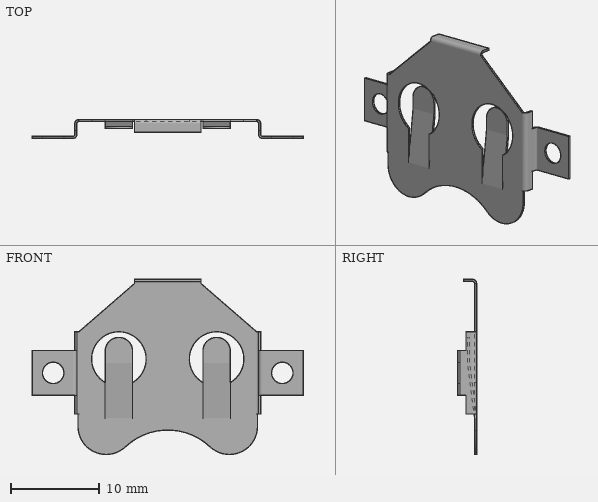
import cadquery as cq
import math


thickness = 0.25
overall_width = 30.75
overall_depth = 2.15

plate_half_width = 10.18
lobe_radius = 3.2
lobe_center_x = plate_half_width - lobe_radius
lobe_center_z = -6.05
lobe_bottom_z = lobe_center_z - lobe_radius
notch_top_z = -6.5
overall_height = 19.87
plate_top_z = lobe_bottom_z + overall_height

wall_outer_x = 10.55
wall_half_height = 4.68
wall_depth = 1.23
bend_outer_radius = 0.5
bend_inner_radius = bend_outer_radius - thickness
tab_bend_inner_radius = 0.15
tab_bend_outer_radius = tab_bend_inner_radius + thickness
tab_height = 5.1
tab_hole_diameter = 2.4
tab_hole_x = 12.98

lip_width = 7.57
lip_depth = 1.48

tongue_x = 5.55
window_radius = 3.08
window_center_z = 1.57
tongue_width = 3.15
tongue_top_z = 4.03
tongue_bend_z = 1.08
tongue_root_z = -5.17
tongue_front_y = -1.05

wall_inner_x = wall_outer_x - thickness
bend_start_x = wall_outer_x - bend_outer_radius
bend_start_z = plate_top_z - bend_outer_radius


def back_plane():
    """Workplane on the back of the plate, with local axes X and Z, extruding toward -Y."""
    return cq.Workplane("XZ")


def point_on_circle(center, radius, angle):
    """Point on a circle at an angle in degrees."""
    turn = math.radians(angle)
    return (center[0] + radius * math.cos(turn), center[1] + radius * math.sin(turn))


def make_plate():
    """Flat plate: sloped shoulders, two round lobes and a round notch tangent to both."""
    rise = lobe_center_z - notch_top_z
    notch_radius = (lobe_center_x**2 + rise**2 - lobe_radius**2) / (2 * (lobe_radius - rise))
    notch_center_z = notch_top_z - notch_radius
    tangent_angle = math.degrees(math.atan2(notch_center_z - lobe_center_z, -lobe_center_x))
    right_lobe = (lobe_center_x, lobe_center_z)
    tangent_x, tangent_z = point_on_circle(right_lobe, lobe_radius, tangent_angle)
    lobe_mid_x, lobe_mid_z = point_on_circle(right_lobe, lobe_radius, tangent_angle / 2)
    return (
        back_plane()
        .moveTo(lip_width / 2, bend_start_z)
        .lineTo(bend_start_x, wall_half_height)
        .lineTo(bend_start_x, -wall_half_height)
        .lineTo(plate_half_width, -wall_half_height)
        .lineTo(plate_half_width, lobe_center_z)
        .threePointArc((lobe_mid_x, lobe_mid_z), (tangent_x, tangent_z))
        .threePointArc((0, notch_top_z), (-tangent_x, tangent_z))
        .threePointArc((-lobe_mid_x, lobe_mid_z), (-plate_half_width, lobe_center_z))
        .lineTo(-plate_half_width, -wall_half_height)
        .lineTo(-bend_start_x, -wall_half_height)
        .lineTo(-bend_start_x, wall_half_height)
        .lineTo(-lip_width / 2, bend_start_z)
        .close()
        .extrude(thickness)
    )


def bent_flange(plane, bend_start, depth):
    """Profile of a flange that turns from the plate toward -Y through a quarter bend."""
    bend_center = (bend_start, -bend_outer_radius)
    outer = bend_start + bend_outer_radius
    inner = outer - thickness
    return (
        plane
        .moveTo(bend_start, 0)
        .threePointArc(point_on_circle(bend_center, bend_outer_radius, 45), (outer, -bend_outer_radius))
        .lineTo(outer, -depth)
        .lineTo(inner, -depth)
        .lineTo(inner, -bend_outer_radius)
        .threePointArc(point_on_circle(bend_center, bend_inner_radius, 45), (bend_start, -thickness))
        .close()
    )


def make_lip():
    """Lip along the top edge, bent forward."""
    plane = cq.Workplane(cq.Plane(origin=(lip_width / 2, 0, 0), xDir=(0, 0, 1), normal=(-1, 0, 0)))
    return bent_flange(plane, bend_start_z, lip_depth).extrude(lip_width)


def make_right_side():
    """Side wall bent forward, with a narrower mounting tab bent outward from it."""
    wall_plane = cq.Workplane("XY", origin=(0, 0, -wall_half_height))
    wall = bent_flange(wall_plane, bend_start_x, wall_depth).extrude(2 * wall_half_height)

    tab_back_y = thickness - overall_depth
    bend_center = (wall_outer_x + tab_bend_inner_radius, tab_back_y + tab_bend_inner_radius)
    tab = (
        cq.Workplane("XY", origin=(0, 0, -tab_height / 2))
        .moveTo(wall_inner_x, -wall_depth)
        .lineTo(wall_inner_x, bend_center[1])
        .threePointArc(
            point_on_circle(bend_center, tab_bend_outer_radius, 225),
            (bend_center[0], -overall_depth),
        )
        .lineTo(overall_width / 2, -overall_depth)
        .lineTo(overall_width / 2, tab_back_y)
        .lineTo(bend_center[0], tab_back_y)
        .threePointArc(
            point_on_circle(bend_center, tab_bend_inner_radius, 225),
            (wall_outer_x, bend_center[1]),
        )
        .lineTo(wall_outer_x, -wall_depth)
        .close()
        .extrude(tab_height)
    )
    hole = back_plane().center(tab_hole_x, 0).circle(tab_hole_diameter / 2).extrude(overall_depth)
    return wall.union(tab.cut(hole))


def make_window(center_x):
    """Round window joined to the slot that the tongue was cut from."""
    window = back_plane().center(center_x, window_center_z).circle(window_radius).extrude(thickness)
    slot = (
        back_plane()
        .center(center_x, (window_center_z + tongue_root_z) / 2)
        .rect(tongue_width, window_center_z - tongue_root_z)
        .extrude(thickness)
    )
    return window.union(slot)


def make_tongue(center_x):
    """Strip sloping forward from the plate to a flat, round-ended tip."""
    tip_back_y = tongue_front_y + thickness
    strip = (
        cq.Workplane("YZ", origin=(center_x - tongue_width / 2, 0, 0))
        .moveTo(0, tongue_root_z)
        .lineTo(-thickness, tongue_root_z)
        .lineTo(tongue_front_y, tongue_bend_z)
        .lineTo(tongue_front_y, tongue_top_z)
        .lineTo(tip_back_y, tongue_top_z)
        .lineTo(tip_back_y, tongue_bend_z)
        .close()
        .extrude(tongue_width)
    )
    half_width = tongue_width / 2
    round_tip = (
        back_plane()
        .moveTo(center_x - half_width, tongue_root_z)
        .lineTo(center_x - half_width, tongue_top_z - half_width)
        .threePointArc((center_x, tongue_top_z), (center_x + half_width, tongue_top_z - half_width))
        .lineTo(center_x + half_width, tongue_root_z)
        .close()
        .extrude(-tongue_front_y)
    )
    return strip.intersect(round_tip)


right_side = make_right_side()
result = make_plate().union(make_lip()).union(right_side).union(right_side.mirror("YZ"))
for center_x in (-tongue_x, tongue_x):
    result = result.cut(make_window(center_x)).union(make_tongue(center_x))